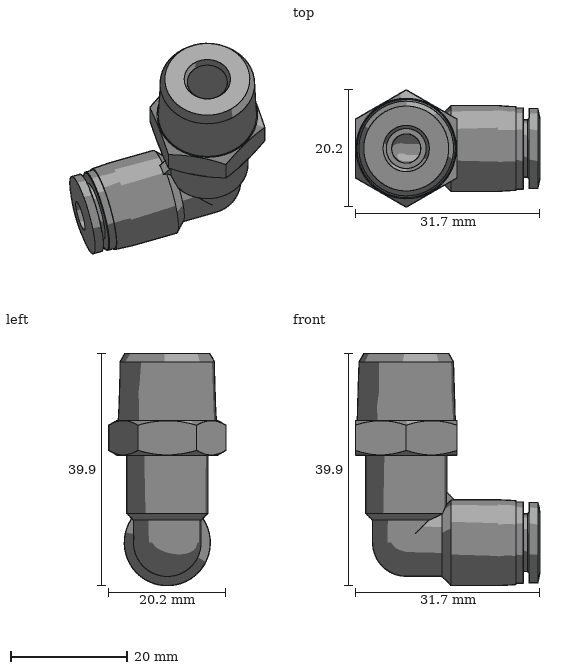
import cadquery as cq
import math


ELBOW_RADIUS = 5.8
BORE_RADIUS = 5.0 / 2

STEM_TOP = 32.5
HEX_TOP = 21.0
HEX_BASE = 15.0
SHOULDER_BASE = 5.05

SHOULDER_RADIUS = 14.0 / 2
THREAD_BASE_RADIUS = 8.44
THREAD_TAPER = 1 / 32
LEAD_CHAMFER_HEIGHT = 1.45
END_CHAMFER_ANGLE = math.radians(30)

HEX_CORNER_DIAMETER = 20.16
HEX_FLAT_RADIUS = HEX_CORNER_DIAMETER / 2 * math.cos(math.pi / 6)
HEX_FACE_MARGIN = 0.1
HEX_CHAMFER_RADIUS = HEX_FLAT_RADIUS - HEX_FACE_MARGIN
HEX_CHAMFER_ANGLE = math.radians(30)

COUNTERBORE_RADIUS = 6.86 / 2
COUNTERBORE_MOUTH_RADIUS = 7.94 / 2

COLLAR_START = 6.1
COLLAR_TAPER_START = 15.8
COLLAR_TAPER_END = 18.8
SLEEVE_END = 20.15
NECK_FLARE_START = 20.8
FLANGE_START = 21.1
FLANGE_RIM_END = 22.6
BRANCH_END = 23.0

COLLAR_RADIUS = 14.8 / 2
COLLAR_TAPER_RADIUS = 7.23
SLEEVE_RADIUS = 14.0 / 2
SLEEVE_CHAMFER = 0.12
NECK_RADIUS = 9.94 / 2
FLANGE_RADIUS = 13.8 / 2
END_FACE_RADIUS = 4.4

RIB_THICKNESS = 2.0
RIB_INTERCEPT = 15.62


def revolve_about_z(outline):
    """Revolve a closed (radius, z) outline about the stem axis."""
    return cq.Workplane("XZ").polyline(outline).close().revolve(360, (0, 0), (0, 1))


def mitred_elbow(radius, stem_end, branch_end):
    """Two crossing round bars whose outer corner is rounded by a sphere."""
    stem = cq.Workplane("XY").circle(radius).extrude(stem_end)
    branch = cq.Workplane("YZ").circle(radius).extrude(branch_end)
    return stem.union(branch).union(cq.Workplane("XY").sphere(radius))


def make_stem():
    """Shoulder with a 45-degree base, and the tapered thread with its lead chamfer."""
    lead_base = STEM_TOP - LEAD_CHAMFER_HEIGHT
    lead_radius = THREAD_BASE_RADIUS - THREAD_TAPER * (lead_base - HEX_TOP)
    tip_radius = lead_radius - LEAD_CHAMFER_HEIGHT * math.tan(END_CHAMFER_ANGLE)
    shoulder_chamfer = SHOULDER_RADIUS - ELBOW_RADIUS
    return revolve_about_z([
        (0, SHOULDER_BASE - shoulder_chamfer),
        (ELBOW_RADIUS, SHOULDER_BASE - shoulder_chamfer),
        (SHOULDER_RADIUS, SHOULDER_BASE),
        (SHOULDER_RADIUS, HEX_TOP),
        (THREAD_BASE_RADIUS, HEX_TOP),
        (lead_radius, lead_base),
        (tip_radius, STEM_TOP),
        (0, STEM_TOP),
    ])


def make_hexagon():
    """Hexagon with flats facing +X and -X and conically chamfered corners."""
    corner_radius = HEX_CORNER_DIAMETER / 2
    chamfer_height = (corner_radius - HEX_CHAMFER_RADIUS) * math.tan(HEX_CHAMFER_ANGLE)
    prism = (
        cq.Workplane("XY")
        .workplane(offset=HEX_BASE)
        .polygon(6, HEX_CORNER_DIAMETER)
        .extrude(HEX_TOP - HEX_BASE)
        .rotate((0, 0, 0), (0, 0, 1), 30)
    )
    envelope = revolve_about_z([
        (0, HEX_BASE),
        (HEX_CHAMFER_RADIUS, HEX_BASE),
        (corner_radius, HEX_BASE + chamfer_height),
        (corner_radius, HEX_TOP - chamfer_height),
        (HEX_CHAMFER_RADIUS, HEX_TOP),
        (0, HEX_TOP),
    ])
    return prism.intersect(envelope)


def crown_midpoint():
    """Point on the flange crown, an arc that meets the end face tangentially."""
    rise = FLANGE_RADIUS - END_FACE_RADIUS
    drop = BRANCH_END - FLANGE_RIM_END
    crown_radius = (rise**2 + drop**2) / (2 * drop)
    half_angle = math.asin(rise / crown_radius) / 2
    return (
        BRANCH_END - crown_radius * (1 - math.cos(half_angle)),
        END_FACE_RADIUS + crown_radius * math.sin(half_angle),
    )


def make_branch():
    """Collar, sleeve, grooved neck and release flange, revolved about X."""
    collar_chamfer = COLLAR_RADIUS - ELBOW_RADIUS
    neck_flare = FLANGE_START - NECK_FLARE_START
    return (
        cq.Workplane("XZ")
        .moveTo(COLLAR_START, 0)
        .lineTo(COLLAR_START, ELBOW_RADIUS)
        .lineTo(COLLAR_START + collar_chamfer, COLLAR_RADIUS)
        .lineTo(COLLAR_TAPER_START, COLLAR_RADIUS)
        .lineTo(COLLAR_TAPER_END, COLLAR_TAPER_RADIUS)
        .lineTo(COLLAR_TAPER_END, SLEEVE_RADIUS)
        .lineTo(SLEEVE_END - SLEEVE_CHAMFER, SLEEVE_RADIUS)
        .lineTo(SLEEVE_END, SLEEVE_RADIUS - SLEEVE_CHAMFER)
        .lineTo(SLEEVE_END, NECK_RADIUS)
        .lineTo(NECK_FLARE_START, NECK_RADIUS)
        .lineTo(FLANGE_START, NECK_RADIUS + neck_flare)
        .lineTo(FLANGE_START, FLANGE_RADIUS)
        .lineTo(FLANGE_RIM_END, FLANGE_RADIUS)
        .threePointArc(crown_midpoint(), (BRANCH_END, END_FACE_RADIUS))
        .lineTo(BRANCH_END, 0)
        .close()
        .revolve(360, (0, 0), (1, 0))
    )


def make_rib():
    """Thin triangular web between the shoulder and the collar."""
    return (
        cq.Workplane("XZ")
        .moveTo(ELBOW_RADIUS, ELBOW_RADIUS)
        .lineTo(RIB_INTERCEPT - ELBOW_RADIUS, ELBOW_RADIUS)
        .lineTo(ELBOW_RADIUS, RIB_INTERCEPT - ELBOW_RADIUS)
        .close()
        .extrude(RIB_THICKNESS / 2, both=True)
    )


def make_counterbore():
    """Wider bore from the threaded end down to the hexagon base, with a tapered mouth."""
    mouth_depth = (COUNTERBORE_MOUTH_RADIUS - COUNTERBORE_RADIUS) / math.tan(END_CHAMFER_ANGLE)
    return revolve_about_z([
        (0, HEX_BASE),
        (COUNTERBORE_RADIUS, HEX_BASE),
        (COUNTERBORE_RADIUS, STEM_TOP - mouth_depth),
        (COUNTERBORE_MOUTH_RADIUS, STEM_TOP),
        (0, STEM_TOP),
    ])


body = (
    mitred_elbow(ELBOW_RADIUS, SHOULDER_BASE, COLLAR_START)
    .union(make_stem())
    .union(make_hexagon())
    .union(make_branch())
    .union(make_rib())
)

result = body.cut(mitred_elbow(BORE_RADIUS, STEM_TOP, BRANCH_END)).cut(make_counterbore())